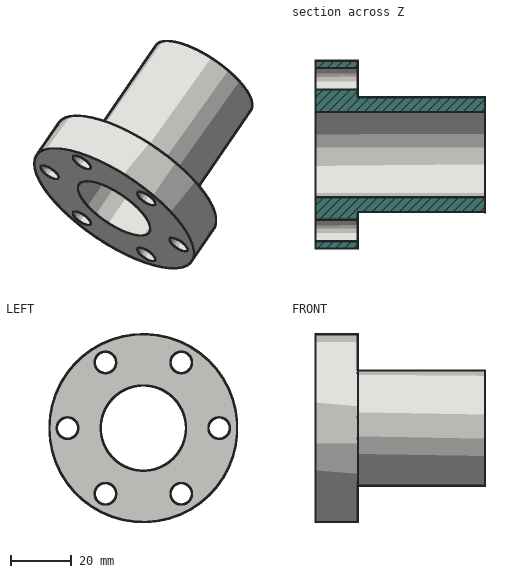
import cadquery as cq

flange_diameter = 62.0
flange_thickness = 14.0
overall_length = 56.0
sleeve_diameter = 38.0
bore_diameter = 28.0

bolt_count = 6
bolt_hole_diameter = 7.0
bolt_circle_diameter = 50.0


def cylinder(diameter, length):
    """Solid cylinder on the X axis, starting at the flange face."""
    return cq.Workplane("YZ").circle(diameter / 2).extrude(length)


def bolt_holes():
    """Ring of through holes, the first one on the +Y axis."""
    return (
        cq.Workplane("YZ")
        .polarArray(bolt_circle_diameter / 2, 0, 360, bolt_count)
        .circle(bolt_hole_diameter / 2)
        .extrude(flange_thickness)
    )


flange = cylinder(flange_diameter, flange_thickness).cut(bolt_holes())
sleeve = cylinder(sleeve_diameter, overall_length)
bore = cylinder(bore_diameter, overall_length)

result = flange.union(sleeve).cut(bore)